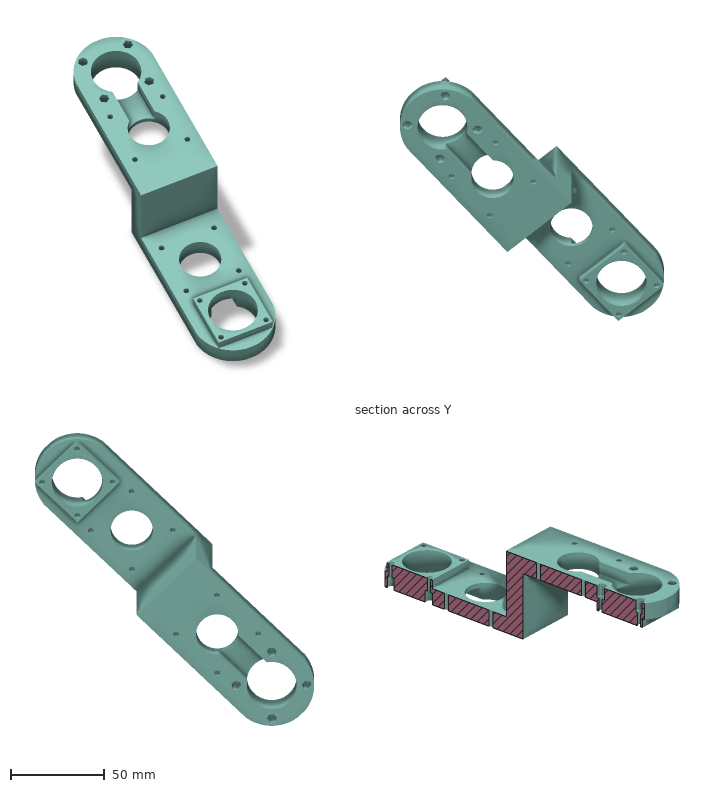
import cadquery as cq
import math

length = 191.0
width = 45.0
height = 49.0
arm_thickness = 10.0
web_thickness = 12.0
end_flat = 5.3

pad_side = 31.9
pad_height = 5.2
pad_hole_spacing = 26.5
upper_end_bore_diameter = 27.0
lower_end_bore_diameter = 26.5

shaft_bore_diameter = 22.5
bore_spacing = 40.9
mount_hole_spacing = 31.0
screw_diameter = 3.0
nut_corner_diameter = 5.5

slot_width = 14.9
slot_depth = 7.0
nut_pocket_depth = slot_depth

arm_top = height / 2
arm_bottom = arm_top - arm_thickness
pad_bottom = arm_bottom - pad_height
full_depth = arm_top - pad_bottom
end_bore_x = (width - length) / 2
shaft_bore_x = end_bore_x + bore_spacing


def level_plane(z, x=0):
    """Horizontal workplane at height z, centred on the part's width."""
    return cq.Workplane("XY", origin=(x, 0, z))


def make_blank_arm():
    """Flat arm with a rounded, slightly flattened free end and a square pad below it."""
    end_x = -length / 2
    half_width = width / 2
    half_flat = end_flat / 2
    inner_x = web_thickness / 2
    end_radius = math.hypot(half_width, half_flat)
    arc_middle = end_radius * math.sqrt(0.5)
    arm = (
        level_plane(arm_bottom)
        .moveTo(inner_x, half_width)
        .lineTo(end_bore_x - half_flat, half_width)
        .threePointArc((end_bore_x - arc_middle, arc_middle), (end_x, half_flat))
        .lineTo(end_x, -half_flat)
        .threePointArc((end_bore_x - arc_middle, -arc_middle), (end_bore_x - half_flat, -half_width))
        .lineTo(inner_x, -half_width)
        .close()
        .extrude(arm_thickness)
    )
    pad = level_plane(pad_bottom, end_bore_x).rect(pad_side, pad_side).extrude(pad_height)
    return arm.union(pad)


def make_bore(x, diameter):
    return level_plane(pad_bottom, x).circle(diameter / 2).extrude(full_depth)


def make_screw_holes(x, spacing):
    """Four through holes at the corners of a square around x."""
    return (
        level_plane(pad_bottom, x)
        .rarray(spacing, spacing, 2, 2)
        .circle(screw_diameter / 2)
        .extrude(full_depth)
    )


def make_slot():
    """Open channel in the outer face that joins the two bores."""
    return (
        level_plane(arm_top - slot_depth, (end_bore_x + shaft_bore_x) / 2)
        .rect(bore_spacing, slot_width)
        .extrude(slot_depth)
    )


def make_nut_pockets():
    """Hexagonal pockets over the pad screw holes, each turned a quarter from the last."""
    offset = pad_hole_spacing / 2
    first_pocket = (
        level_plane(arm_top - nut_pocket_depth, end_bore_x)
        .center(offset, -offset)
        .polygon(6, nut_corner_diameter)
        .extrude(nut_pocket_depth)
    )
    pockets = first_pocket
    for quarter in range(1, 4):
        turned = first_pocket.rotate((end_bore_x, 0, 0), (end_bore_x, 0, 1), 90 * quarter)
        pockets = pockets.union(turned)
    return pockets


def make_arm(end_bore_diameter):
    return (
        make_blank_arm()
        .cut(make_bore(end_bore_x, end_bore_diameter))
        .cut(make_bore(shaft_bore_x, shaft_bore_diameter))
        .cut(make_slot())
        .cut(make_screw_holes(end_bore_x, pad_hole_spacing))
        .cut(make_screw_holes(shaft_bore_x, mount_hole_spacing))
        .cut(make_nut_pockets())
    )


upper_arm = make_arm(upper_end_bore_diameter)
lower_arm = make_arm(lower_end_bore_diameter).rotate((0, 0, 0), (0, 1, 0), 180)
web = cq.Workplane("XY").box(web_thickness, width, height)

result = web.union(upper_arm).union(lower_arm)